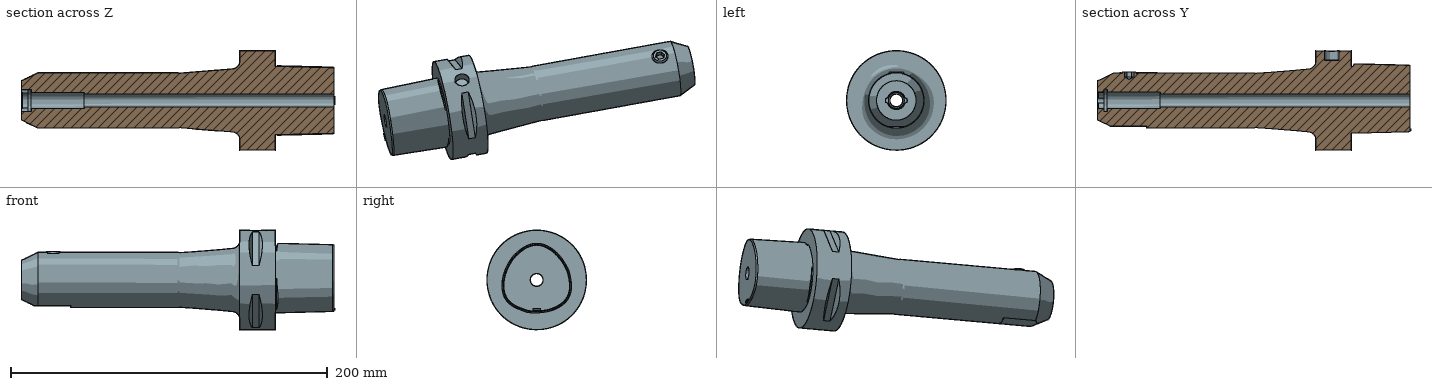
import cadquery as cq
import math


nose_radius = 12.5
nose_length = 10.3
barrel_diameter = 35.0
barrel_radius = barrel_diameter / 2
barrel_end = 98.8
neck_start = 100.0
neck_start_diameter = 34.6
neck_start_radius = neck_start_diameter / 2
neck_end = 133.0
neck_end_radius = 20.0
flange_start = 137.8
flange_end = 160.4
flange_radius = 31.5
neck_fillet_foot_radius = 24.8
neck_slope = math.atan2(neck_end_radius - neck_start_radius, neck_end - neck_start)

shank_mean_radius = 22.0
shank_lobe = 1.2
relief_end = 161.2
shank_start = 162.0
shank_taper_start = 163.2
shank_end = 197.5
shank_bevel_length = 1.0
shank_bevel_depth = 0.4
shank_taper = 1 / 40
relief_radius = 21.5
lobes = 3
outline_points_per_lobe = 9

mark_width = 4.8
mark_height = 1.0
mark_thickness = 0.5
mark_z = -18.5

tool_bore_diameter = 10.0
tool_bore_mouth_diameter = 11.5
tool_bore_depth = 39.6
coolant_bore_diameter = 8.0
coolant_groove_width = 3.2
coolant_groove_span = 13.9
coolant_groove_depth = 4.2
coolant_recess_end = 6.1

screw_x = 20.0
screw_diameter = 10.0
screw_tip_diameter = 8.3
screw_shoulder_z = 16.8
screw_top_z = 18.0
socket_across_flats = 5.0
socket_depth = 3.2
socket_point_depth = 1.4

flat_z = -16.5
flat_length = 31.0

groove_x = 148.0
groove_floor_width = 4.2
groove_flank_angle = 30.0
groove_floor_distance = 27.7
groove_angles = (45, 135, 225, 315)
chip_hole_diameter = 9.0
chip_hole_depth = 6.0


def turned_body():
    """Nose, barrel, tapered neck and flange, revolved about X."""
    arc_turn = math.pi / 2 - neck_slope
    chord_angle = neck_slope + arc_turn / 2
    mid_bulge = math.tan(arc_turn / 4) / 2
    run = flange_start - neck_end
    rise = neck_fillet_foot_radius - neck_end_radius
    chord = math.hypot(run, rise)
    fillet_mid = (
        neck_end + run / 2 + mid_bulge * chord * math.sin(chord_angle),
        neck_end_radius + rise / 2 - mid_bulge * chord * math.cos(chord_angle),
    )
    return (
        cq.Workplane("XY")
        .moveTo(0, 0)
        .lineTo(0, nose_radius)
        .lineTo(nose_length, barrel_radius)
        .lineTo(barrel_end, barrel_radius)
        .lineTo(neck_start, neck_start_radius)
        .lineTo(neck_end, neck_end_radius)
        .threePointArc(fillet_mid, (flange_start, neck_fillet_foot_radius))
        .lineTo(flange_start, flange_radius)
        .lineTo(flange_end, flange_radius)
        .lineTo(flange_end, 0)
        .close()
        .revolve(360, (0, 0, 0), (1, 0, 0))
    )


def outline_point(x, mean_radius, angle):
    """Point of the constant-width outline whose outward normal points along angle."""
    phase = lobes * (angle - math.pi / 2)
    reach = mean_radius + shank_lobe * math.cos(phase)
    slide = -lobes * shank_lobe * math.sin(phase)
    y = reach * math.cos(angle) - slide * math.sin(angle)
    z = reach * math.sin(angle) + slide * math.cos(angle)
    return cq.Vector(x, y, z)


def shank_wire(x, mean_radius):
    """Outline at x: one spline per lobe, joined smoothly at the middles of the flat sides."""
    span = 2 * math.pi / lobes
    edges = []
    for lobe in range(lobes):
        start = math.pi / 2 + span * (lobe - 0.5)
        points = [
            outline_point(x, mean_radius, start + span * i / (outline_points_per_lobe - 1))
            for i in range(outline_points_per_lobe)
        ]
        tangents = [cq.Vector(0, -math.sin(a), math.cos(a)) for a in (start, start + span)]
        edges.append(cq.Edge.makeSpline(points, tangents=tangents))
    return cq.Wire.assembleEdges(edges)


def shank_section(x_start, radius_start, x_end, radius_end):
    wires = [shank_wire(x_start, radius_start), shank_wire(x_end, radius_end)]
    return cq.Workplane(cq.Solid.makeLoft(wires, True))


def along_x(x_start, x_end, diameter):
    return cq.Workplane("YZ", origin=(x_start, 0, 0)).circle(diameter / 2).extrude(x_end - x_start)


def coupling_shank():
    """Round relief with a conical lead to the lobes, straight land, tapered shank and end bevel."""
    bevel_start = shank_end - shank_bevel_length
    bevel_radius = shank_mean_radius - shank_taper * (bevel_start - shank_taper_start)
    lobe_radius = shank_mean_radius + shank_lobe
    relief_limit = (
        cq.Workplane("XY")
        .moveTo(flange_end, 0)
        .lineTo(flange_end, relief_radius)
        .lineTo(relief_end, relief_radius)
        .lineTo(shank_start, lobe_radius)
        .lineTo(shank_start, 0)
        .close()
        .revolve(360, (0, 0, 0), (1, 0, 0))
    )
    relief = shank_section(flange_end, shank_mean_radius, shank_start, shank_mean_radius)
    relief = relief.intersect(relief_limit)
    land = shank_section(shank_start, shank_mean_radius, shank_taper_start, shank_mean_radius)
    taper = shank_section(shank_taper_start, shank_mean_radius, bevel_start, bevel_radius)
    bevel = shank_section(bevel_start, bevel_radius, shank_end, bevel_radius - shank_bevel_depth)
    return relief.union(land).union(taper).union(bevel)


def orientation_mark():
    """Thin raised bar on the end face, below the axis."""
    return (
        cq.Workplane("YZ", origin=(shank_end, 0, mark_z))
        .rect(mark_width, mark_height)
        .extrude(mark_thickness)
    )


def bores():
    """Through coolant bore, tool bore with bevelled mouth, two grooves and the ring recess they feed."""
    mouth_bevel = (tool_bore_mouth_diameter - tool_bore_diameter) / 2
    mouth = (
        cq.Workplane("YZ")
        .circle(tool_bore_mouth_diameter / 2)
        .workplane(offset=mouth_bevel)
        .circle(tool_bore_diameter / 2)
        .loft()
    )
    grooves = (
        cq.Workplane("YZ").slot2D(coolant_groove_span, coolant_groove_width).extrude(coolant_groove_depth)
    )
    recess = along_x(coolant_groove_depth, coolant_recess_end, coolant_groove_span)
    tool_bore = along_x(0, tool_bore_depth, tool_bore_diameter)
    coolant_bore = along_x(0, shank_end, coolant_bore_diameter)
    return coolant_bore.union(tool_bore).union(mouth).union(grooves).union(recess)


def screw_head():
    """Bevelled screw end standing slightly above the barrel."""
    return (
        cq.Workplane("XY", origin=(screw_x, 0, screw_shoulder_z))
        .circle(screw_diameter / 2)
        .workplane(offset=screw_top_z - screw_shoulder_z)
        .circle(screw_tip_diameter / 2)
        .loft()
    )


def screw_surround():
    """Barrel material above the screw shoulder, removed so that the bevel is exposed."""
    return (
        cq.Workplane("XY", origin=(screw_x, 0, screw_shoulder_z))
        .circle(screw_diameter / 2)
        .extrude(screw_top_z - screw_shoulder_z)
    )


def screw_socket():
    """Hexagon socket with corners along X and a conical bottom."""
    socket_floor_z = screw_top_z - socket_depth
    hexagon = (
        cq.Workplane("XY", origin=(screw_x, 0, socket_floor_z))
        .polygon(6, socket_across_flats / math.cos(math.pi / 6))
        .extrude(socket_depth)
    )
    point = cq.Solid.makeCone(
        socket_across_flats / 2,
        0,
        socket_point_depth,
        pnt=cq.Vector(screw_x, 0, socket_floor_z),
        dir=cq.Vector(0, 0, -1),
    )
    return hexagon.union(cq.Workplane(point))


def nose_flat():
    depth = barrel_radius + flat_z
    return cq.Workplane("XY").box(
        flat_length, 2 * barrel_radius, depth, centered=(False, True, False)
    ).translate((0, 0, -barrel_radius))


def gripper_grooves():
    """Four straight trapezoidal grooves across the flange, midway between the axes."""
    height = flange_radius - groove_floor_distance
    top_width = groove_floor_width + 2 * height * math.tan(math.radians(groove_flank_angle))
    groove = (
        cq.Workplane("XZ", origin=(groove_x, flange_radius, 0))
        .moveTo(-groove_floor_width / 2, groove_floor_distance)
        .lineTo(groove_floor_width / 2, groove_floor_distance)
        .lineTo(top_width / 2, flange_radius)
        .lineTo(-top_width / 2, flange_radius)
        .close()
        .extrude(2 * flange_radius)
    )
    cutters = cq.Workplane()
    for angle in groove_angles:
        cutters = cutters.add(groove.rotate((0, 0, 0), (1, 0, 0), angle))
    return cutters.combine()


def chip_hole():
    """Blind round hole in the top of the flange."""
    return (
        cq.Workplane("XY", origin=(groove_x, 0, flange_radius - chip_hole_depth))
        .circle(chip_hole_diameter / 2)
        .extrude(chip_hole_depth)
    )


result = (
    turned_body()
    .union(coupling_shank())
    .union(orientation_mark())
    .cut(bores())
    .cut(nose_flat())
    .cut(screw_surround())
    .union(screw_head())
    .cut(screw_socket())
    .cut(gripper_grooves())
    .cut(chip_hole())
)